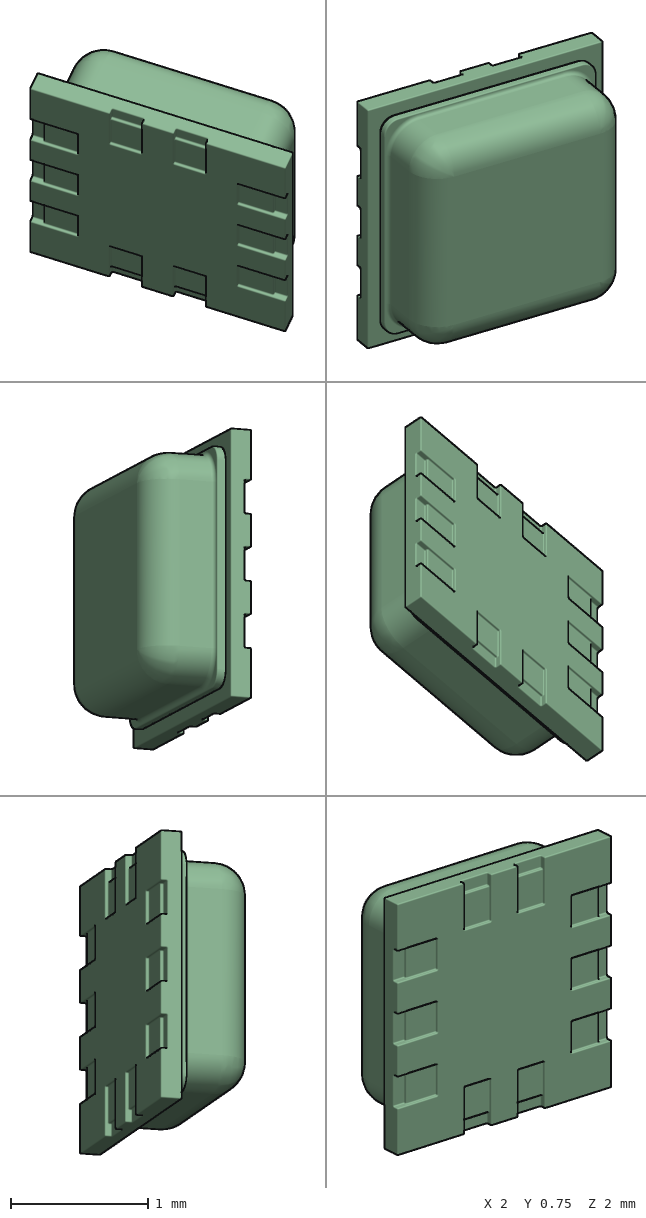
import cadquery as cq

board_side = 2.0
board_thickness = 0.16
board_edge_radius = 0.01
overall_height = 0.75

pad_width = 0.25
pad_length = 0.375
pad_depth = 0.025
pad_pitch = 0.5
step_length = 0.1
step_depth = 0.05

flange_side = 1.8
flange_thickness = 0.07
flange_corner_radius = 0.12
flange_edge_radius = 0.01
shell_side = 1.72
shell_corner_radius = 0.24
tangent_clearance = 0.0002
dome_radius = shell_corner_radius - tangent_clearance
flange_overhang = (flange_side - shell_side) / 2
foot_radius = flange_overhang - flange_edge_radius - tangent_clearance
selection_margin = 0.005

flange_top = board_thickness + flange_thickness

three_pads = (-pad_pitch, 0, pad_pitch)
two_pads = (-pad_pitch / 2, pad_pitch / 2)
pad_rows = ((0, three_pads), (90, two_pads), (180, three_pads), (270, two_pads))


def square_block(side, y_start, y_end):
    """Square block centred on the Y axis, from y_start to y_end."""
    block = cq.Workplane("XY").box(side, y_end - y_start, side, centered=(True, False, True))
    return block.translate((0, y_start, 0))


def side_notch(length, depth, offset):
    """Rectangular cutter in the pad face, reaching in from the +X side face."""
    notch = cq.Workplane("XY").box(length, depth, pad_width, centered=(False, False, True))
    return notch.translate((board_side / 2 - length, 0, offset))


def pad_cutter(side_angle, offset):
    """Stepped pad recess at an offset along the side reached by side_angle."""
    shallow = side_notch(pad_length, pad_depth, offset)
    deep = side_notch(step_length, step_depth, offset)
    return shallow.union(deep).rotate((0, 0, 0), (0, 1, 0), side_angle)


def make_board():
    """Board with its pad recesses and every edge slightly rounded."""
    board = square_block(board_side, 0, board_thickness)
    for side_angle, offsets in pad_rows:
        for offset in offsets:
            board = board.cut(pad_cutter(side_angle, offset))
    return board.edges().fillet(board_edge_radius)


def make_flange():
    """Foot flange with rounded corners and rounded rims."""
    flange = square_block(flange_side, board_thickness, flange_top)
    flange = flange.edges("|Y").fillet(flange_corner_radius)
    return flange.faces("<Y or >Y").edges().fillet(flange_edge_radius)


def make_shell():
    """Cap shell with rounded corners and a domed rim."""
    shell = square_block(shell_side, board_thickness, overall_height)
    shell = shell.edges("|Y").fillet(shell_corner_radius)
    return shell.faces(">Y").edges().fillet(dome_radius)


def make_cap():
    """Flange and shell joined by a concave fillet around the shell's foot."""
    cap = make_flange().union(make_shell())
    reach = shell_side / 2 + selection_margin
    foot_edges = cq.selectors.BoxSelector(
        (-reach, flange_top - selection_margin, -reach),
        (reach, flange_top + selection_margin, reach),
    )
    return cap.edges(foot_edges).fillet(foot_radius)


result = make_board().union(make_cap())